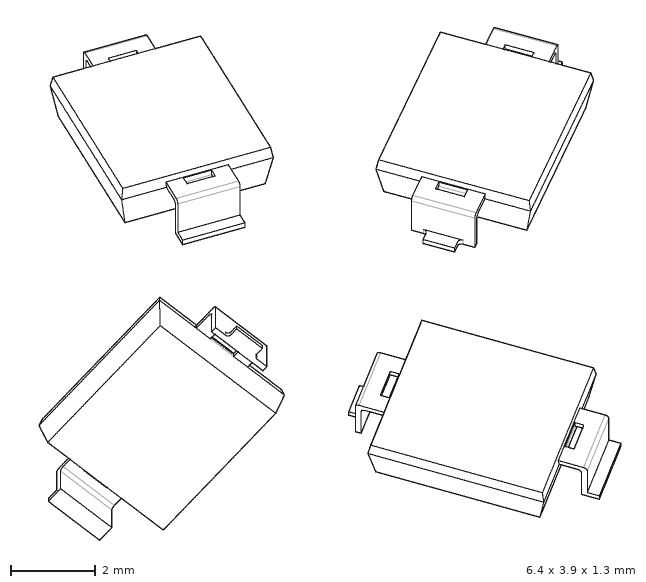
import cadquery as cq

overall_length = 6.4
overall_height = 1.3

body_length = 4.4
body_width = 3.9
body_bottom_z = 0.095
parting_z = 1.0
upper_inset = 0.05
lower_inset = 0.15

lead_thickness = 0.15
lead_width = 1.6
lead_outer_x = 2.9
bend_radius = 0.095
lead_top_z = parting_z + lead_thickness
lead_inner_x = lead_outer_x - lead_thickness
lead_embed = 0.19
lead_root_x = body_length / 2 - lead_embed
foot_tip_x = overall_length / 2

window_outer_x = 2.42
window_width = 0.72
window_length = window_outer_x - body_length / 2

tab_width = 0.8
tab_root_radius = 0.095


def body_half(height, inset):
    """Frustum rising (or, with a negative height, falling) from the parting outline."""
    return (
        cq.Workplane("XY", origin=(0, 0, parting_z))
        .rect(body_length, body_width)
        .workplane(offset=height)
        .rect(body_length - 2 * inset, body_width - 2 * inset)
        .loft(ruled=True, combine=True)
    )


def bent_lead(side):
    """Horizontal strip and vertical leg of a lead; side is +1 for +X and -1 for -X."""
    lead = (
        cq.Workplane("XZ")
        .moveTo(side * lead_root_x, lead_top_z)
        .lineTo(side * lead_outer_x, lead_top_z)
        .lineTo(side * lead_outer_x, 0)
        .lineTo(side * lead_inner_x, 0)
        .lineTo(side * lead_inner_x, parting_z)
        .lineTo(side * lead_root_x, parting_z)
        .close()
        .extrude(lead_width / 2, both=True)
    )
    outer_bend = cq.selectors.NearestToPointSelector((side * lead_outer_x, 0, lead_top_z))
    inner_bend = cq.selectors.NearestToPointSelector((side * lead_inner_x, 0, parting_z))
    lead = lead.edges(outer_bend).fillet(bend_radius)
    lead = lead.edges(inner_bend).fillet(bend_radius)

    window_center_x = side * (window_outer_x - window_length / 2)
    window = (
        cq.Workplane("XY", origin=(window_center_x, 0, parting_z))
        .rect(window_length, window_width)
        .extrude(lead_thickness)
    )
    return lead.cut(window)


def wide_foot():
    """Full-width foot on the +X lead."""
    return (
        cq.Workplane("XY", origin=((lead_inner_x + foot_tip_x) / 2, 0, 0))
        .rect(foot_tip_x - lead_inner_x, lead_width)
        .extrude(lead_thickness)
    )


def narrow_foot():
    """Tab on the -X lead, widened at its root by a concave round on each side."""
    half_width = tab_width / 2
    root_half_width = half_width + tab_root_radius
    round_start_x = -lead_outer_x - tab_root_radius
    return (
        cq.Workplane("XY")
        .moveTo(-lead_inner_x, -root_half_width)
        .lineTo(-lead_outer_x, -root_half_width)
        .radiusArc((round_start_x, -half_width), -tab_root_radius)
        .lineTo(-foot_tip_x, -half_width)
        .lineTo(-foot_tip_x, half_width)
        .lineTo(round_start_x, half_width)
        .radiusArc((-lead_outer_x, root_half_width), -tab_root_radius)
        .lineTo(-lead_inner_x, root_half_width)
        .close()
        .extrude(lead_thickness)
    )


upper_body = body_half(overall_height - parting_z, upper_inset)
lower_body = body_half(body_bottom_z - parting_z, lower_inset)
left_lead = bent_lead(-1).union(narrow_foot())
right_lead = bent_lead(1).union(wide_foot())

result = upper_body.union(lower_body).union(left_lead).union(right_lead)